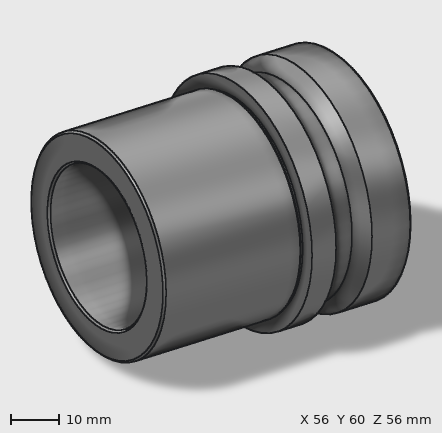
import cadquery as cq

total_length = 60.0
head_length = 10.0
cone_length = 3.0
neck_length = 6.0
collar_length = 6.0
relief_length = 0.5

head_radius = 56.0 / 2
sleeve_radius = 50.0 / 2
bore_radius = 36.0 / 2

edge_chamfer = 0.5
relief_radius = sleeve_radius - edge_chamfer

cone_start = total_length - head_length
neck_start = cone_start - cone_length
collar_back = neck_start - neck_length
collar_front = collar_back - collar_length
sleeve_back = collar_front - relief_length

profile = [
    (bore_radius + edge_chamfer, 0),
    (sleeve_radius - edge_chamfer, 0),
    (sleeve_radius, edge_chamfer),
    (sleeve_radius, sleeve_back - edge_chamfer),
    (relief_radius, sleeve_back),
    (relief_radius, collar_front),
    (head_radius, collar_front),
    (head_radius, collar_back),
    (sleeve_radius, collar_back),
    (sleeve_radius, neck_start),
    (head_radius, cone_start),
    (head_radius, total_length - edge_chamfer),
    (head_radius - edge_chamfer, total_length),
    (bore_radius + edge_chamfer, total_length),
    (bore_radius, total_length - edge_chamfer),
    (bore_radius, edge_chamfer),
]

result = cq.Workplane("XY").polyline(profile).close().revolve(360, (0, 0, 0), (0, 1, 0))